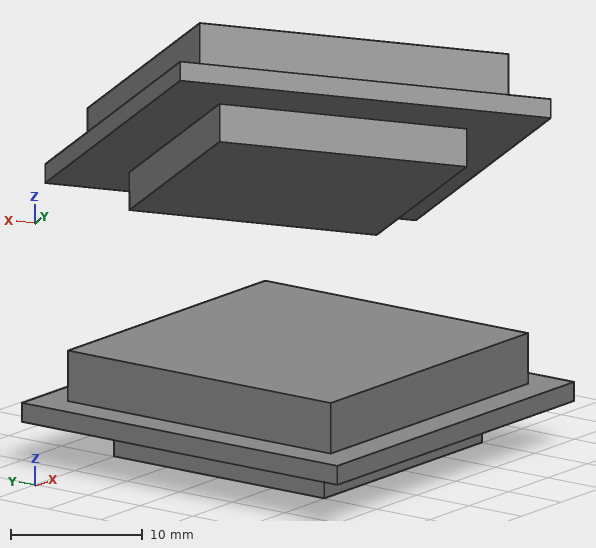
import cadquery as cq

plate_side = 30.0
plate_thickness = 1.5
upper_block_side = 25.0
upper_block_height = 4.0
lower_block_side = 20.0
lower_block_height = 3.0

plate_bottom = lower_block_height
plate_top = plate_bottom + plate_thickness


def square_block(side, height, bottom):
    """Square block centred on the Z axis, standing on the level `bottom`."""
    return cq.Workplane("XY").workplane(offset=bottom).rect(side, side).extrude(height)


lower_block = square_block(lower_block_side, lower_block_height, 0)
plate = square_block(plate_side, plate_thickness, plate_bottom)
upper_block = square_block(upper_block_side, upper_block_height, plate_top)

result = cq.Compound.makeCompound([lower_block.val(), plate.val(), upper_block.val()])